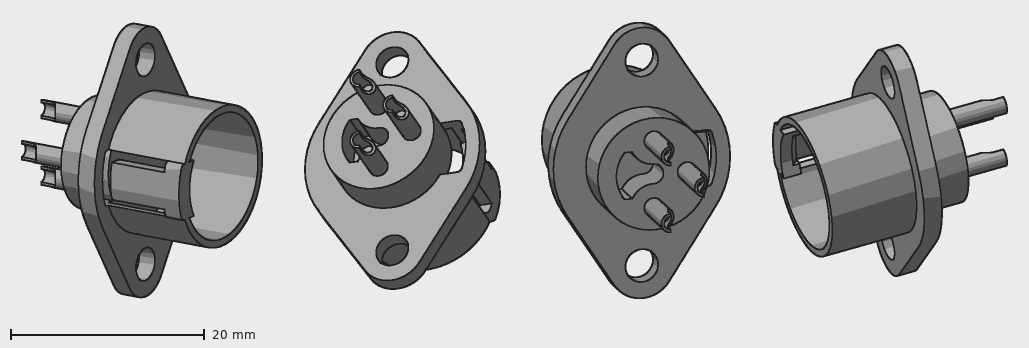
import cadquery as cq
import math


FLANGE_THICKNESS = 2.0
FLANGE_BODY_RADIUS = 9.5
FLANGE_TIP_RADIUS = 3.5
SCREW_OFFSET = 11.0
SCREW_DIAMETER = 3.5

BOSS_RADIUS = 6.0
BOSS_LENGTH = 4.5

BARREL_RADIUS = 7.5
BARREL_LENGTH = 9.5
BORE_RADIUS = 6.72
BORE_SINK = 0.6

LATCH_RADIUS = 8.0
LATCH_HALF_WIDTH = 3.0
LATCH_CORNER_RADIUS = 0.5
LATCH_ROOT_LENGTH = 2.0
LATCH_INNER_RADIUS = 6.0
TONGUE_HALF_WIDTH = 2.0
TONGUE_END_GAP = 1.0

PIN_RADIUS = 1.0
PIN_LENGTH = 6.5
PIN_CIRCLE_RADIUS = 3.58
PIN_CENTRES = [(0, PIN_CIRCLE_RADIUS), (-PIN_CIRCLE_RADIUS, 0), (0, -PIN_CIRCLE_RADIUS)]
CUP_RADIUS = 0.7
CUP_DEPTH = 3.0
CUP_FLAT_LENGTH = 1.0
CUP_RUNOUT_RADIUS = 1.5

KEY_NOSE_RADIUS = 1.05
KEY_OUTER_RADIUS = 4.0
KEY_HALF_HEIGHT = 2.5
KEY_DEPTH = 4.0

FLANGE_REAR = -FLANGE_THICKNESS
BOSS_REAR = FLANGE_REAR - BOSS_LENGTH
PIN_TIP = BOSS_REAR - PIN_LENGTH


def section_at(x):
    """Workplane across the connector axis: local axes are Y and Z, extrusion runs to +X."""
    return cq.Workplane("YZ", origin=(x, 0, 0))


def make_flange():
    """Rounded diamond: tip and body arcs joined by their common tangents."""
    tangent_sine = (FLANGE_BODY_RADIUS - FLANGE_TIP_RADIUS) / SCREW_OFFSET
    tangent_cosine = math.sqrt(1 - tangent_sine**2)
    body_y = FLANGE_BODY_RADIUS * tangent_cosine
    body_z = FLANGE_BODY_RADIUS * tangent_sine
    tip_y = FLANGE_TIP_RADIUS * tangent_cosine
    tip_z = SCREW_OFFSET + FLANGE_TIP_RADIUS * tangent_sine
    tip_top = SCREW_OFFSET + FLANGE_TIP_RADIUS
    return (
        section_at(FLANGE_REAR)
        .moveTo(body_y, -body_z)
        .threePointArc((FLANGE_BODY_RADIUS, 0), (body_y, body_z))
        .lineTo(tip_y, tip_z)
        .threePointArc((0, tip_top), (-tip_y, tip_z))
        .lineTo(-body_y, body_z)
        .threePointArc((-FLANGE_BODY_RADIUS, 0), (-body_y, -body_z))
        .lineTo(-tip_y, -tip_z)
        .threePointArc((0, -tip_top), (tip_y, -tip_z))
        .close()
        .extrude(FLANGE_THICKNESS)
    )


def make_screw_holes():
    return (
        section_at(FLANGE_REAR)
        .pushPoints([(0, SCREW_OFFSET), (0, -SCREW_OFFSET)])
        .circle(SCREW_DIAMETER / 2)
        .extrude(FLANGE_THICKNESS)
    )


def make_bore():
    return section_at(-BORE_SINK).circle(BORE_RADIUS).extrude(BORE_SINK + BARREL_LENGTH)


def latch_prism(start, end):
    """Latch section from the axis out to its rounded -Y side, running along X from start to end."""
    edge_y = -math.sqrt(LATCH_RADIUS**2 - LATCH_HALF_WIDTH**2)
    return (
        section_at(start)
        .moveTo(0, -LATCH_HALF_WIDTH)
        .lineTo(edge_y, -LATCH_HALF_WIDTH)
        .threePointArc((-LATCH_RADIUS, 0), (edge_y, LATCH_HALF_WIDTH))
        .lineTo(0, LATCH_HALF_WIDTH)
        .close()
        .extrude(end - start)
        .edges("|X")
        .edges("<Y")
        .fillet(LATCH_CORNER_RADIUS)
    )


def make_latch():
    """Tongue hinged at the barrel mouth; its thicker root starts with a 45 degree ramp inside."""
    root_start = BARREL_LENGTH - LATCH_ROOT_LENGTH
    tongue_sides = cq.Workplane("XY").box(
        2 * BARREL_LENGTH, 2 * LATCH_RADIUS, 2 * TONGUE_HALF_WIDTH
    )
    tongue = latch_prism(TONGUE_END_GAP, root_start).intersect(tongue_sides).cut(make_bore())
    inner = section_at(root_start).circle(LATCH_INNER_RADIUS).extrude(LATCH_ROOT_LENGTH)
    ramp = (
        cq.Workplane("XY")
        .polyline([
            (root_start, 0),
            (root_start, -BORE_RADIUS),
            (root_start + BORE_RADIUS - LATCH_INNER_RADIUS, -LATCH_INNER_RADIUS),
            (root_start + BORE_RADIUS - LATCH_INNER_RADIUS, 0),
        ])
        .close()
        .revolve(360, (0, 0, 0), (1, 0, 0))
        .intersect(tongue_sides)
    )
    root = latch_prism(root_start, BARREL_LENGTH).cut(inner).cut(ramp)
    return tongue.union(root)


def make_pin(y, z):
    """Pin with a blind cup; the -Y half of its tip is cut away with a curved run-out."""
    pin = section_at(PIN_TIP).center(y, z).circle(PIN_RADIUS).extrude(PIN_LENGTH)
    cup = section_at(PIN_TIP).center(y, z).circle(CUP_RADIUS).extrude(CUP_DEPTH)
    flat_end = PIN_TIP + CUP_FLAT_LENGTH
    rise = CUP_RUNOUT_RADIUS - PIN_RADIUS
    runout_end = flat_end + math.sqrt(CUP_RUNOUT_RADIUS**2 - rise**2)
    half_angle = math.acos(rise / CUP_RUNOUT_RADIUS) / 2
    runout_middle = (
        flat_end + CUP_RUNOUT_RADIUS * math.sin(half_angle),
        y - CUP_RUNOUT_RADIUS * (1 - math.cos(half_angle)),
    )
    opening = (
        cq.Workplane("XY", origin=(0, 0, z - PIN_RADIUS))
        .moveTo(PIN_TIP, y)
        .lineTo(flat_end, y)
        .threePointArc(runout_middle, (runout_end, y - PIN_RADIUS))
        .lineTo(PIN_TIP, y - PIN_RADIUS)
        .close()
        .extrude(2 * PIN_RADIUS)
    )
    return pin.cut(cup).cut(opening)


def make_key_recess():
    """Blind recess: a round nose on the axis, flaring around the two outer pins."""
    clearance = PIN_CIRCLE_RADIUS - KEY_NOSE_RADIUS
    flare_y = math.sqrt(clearance**2 - (PIN_CIRCLE_RADIUS - KEY_HALF_HEIGHT) ** 2)
    outer_y = math.sqrt(KEY_OUTER_RADIUS**2 - KEY_HALF_HEIGHT**2)
    half_angle = math.asin(flare_y / clearance) / 2
    middle_y = clearance * math.sin(half_angle)
    middle_z = PIN_CIRCLE_RADIUS - clearance * math.cos(half_angle)
    return (
        section_at(BOSS_REAR)
        .moveTo(0, -KEY_NOSE_RADIUS)
        .threePointArc((-KEY_NOSE_RADIUS, 0), (0, KEY_NOSE_RADIUS))
        .threePointArc((middle_y, middle_z), (flare_y, KEY_HALF_HEIGHT))
        .lineTo(outer_y, KEY_HALF_HEIGHT)
        .threePointArc((KEY_OUTER_RADIUS, 0), (outer_y, -KEY_HALF_HEIGHT))
        .lineTo(flare_y, -KEY_HALF_HEIGHT)
        .threePointArc((middle_y, -middle_z), (0, -KEY_NOSE_RADIUS))
        .close()
        .extrude(KEY_DEPTH)
    )


def make_barrel():
    """Barrel wall opened on the -Y side around the latch tongue."""
    wall = section_at(0).circle(BARREL_RADIUS).extrude(BARREL_LENGTH)
    return wall.cut(make_bore()).cut(latch_prism(0, BARREL_LENGTH)).union(make_latch())


flange = make_flange().cut(make_screw_holes()).cut(latch_prism(FLANGE_REAR, 0))
boss = section_at(BOSS_REAR).circle(BOSS_RADIUS).extrude(BOSS_LENGTH + FLANGE_THICKNESS)

result = flange.union(boss).cut(make_bore()).union(make_barrel()).cut(make_key_recess())
for pin_y, pin_z in PIN_CENTRES:
    result = result.union(make_pin(pin_y, pin_z))